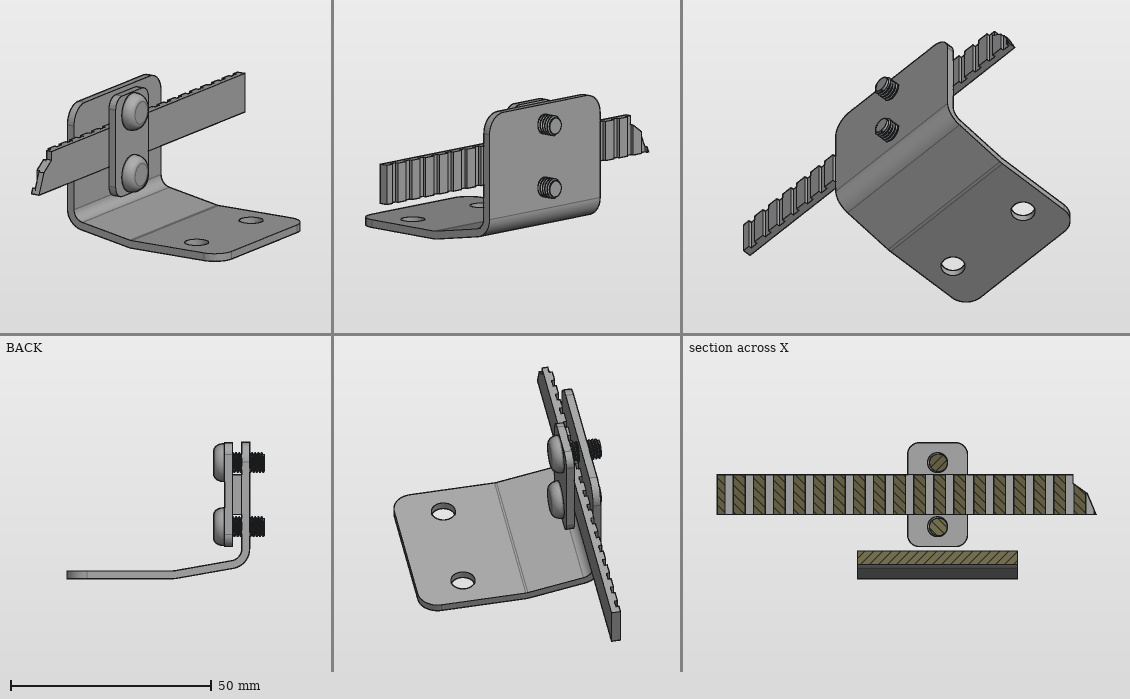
import math

import cadquery as cq


sheet = 2.0
bracket_width = 40.0
bracket_height = 34.12
bracket_length = 45.64
corner_radius = 5.0
ramp_angle = math.radians(10)
inner_bend_radius = 3.0
outer_bend_radius = inner_bend_radius + sheet
foot_start = 18.7
foot_hole_diameter = 6.0
foot_hole_spacing = 25.0
foot_hole_from_edge = 12.0

screw_diameter = 5.0
screw_root_diameter = 4.13
screw_length = 10.0
screw_spacing = 16.0
thread_pitch = 0.8
thread_root_width = 0.6
thread_crest_width = thread_pitch / 8
thread_embed = 0.05
head_diameter = 9.5
head_height = 2.75
head_rim = 0.25
head_flat_diameter = 5.7

strip_thickness = 2.3
strip_height = 10.0
strip_length = 94.62
strip_back_end = 55.0
tooth_pitch = 5.0
notch_width = 2.0
notch_depth = 0.8
first_notch = 2.0
tip_length = 5.77
tip_shoulder_drop = 2.2
tip_knee_from_end = 2.25
tip_knee_drop = 4.7

clamp_thickness = 2.0
clamp_width = 15.0
clamp_height = 26.0
clamp_corner_radius = 3.0

clamp_z = 21.0
strip_x = sheet
clamp_x = strip_x + strip_thickness
head_x = clamp_x + clamp_thickness
screw_heights = [clamp_z - screw_spacing / 2, clamp_z + screw_spacing / 2]


def drill_for_screws(body):
    """Cut the two screw holes through a body along X."""
    for z in screw_heights:
        hole = (
            cq.Workplane("YZ")
            .center(0, z)
            .circle(screw_diameter / 2)
            .extrude(head_x)
        )
        body = body.cut(hole)
    return body


def make_bracket():
    """Upright, sloping ramp and flat foot of one bent sheet, with rounded free corners."""
    ramp_rise = foot_start * math.tan(ramp_angle)
    foot_miter = sheet * math.tan(ramp_angle / 2)
    upright_miter = sheet * math.tan((math.pi / 2 - ramp_angle) / 2)
    inner_foot_start = foot_start + foot_miter
    inner_corner_z = ramp_rise + upright_miter
    body = (
        cq.Workplane("XZ")
        .moveTo(0, bracket_height)
        .lineTo(0, ramp_rise)
        .lineTo(foot_start, 0)
        .lineTo(bracket_length, 0)
        .lineTo(bracket_length, sheet)
        .lineTo(inner_foot_start, sheet)
        .lineTo(sheet, inner_corner_z)
        .lineTo(sheet, bracket_height)
        .close()
        .extrude(bracket_width / 2, both=True)
    )

    def bend_edge(x, z):
        return cq.selectors.NearestToPointSelector((x, 0, z))

    body = body.edges(bend_edge(0, ramp_rise)).fillet(outer_bend_radius)
    body = body.edges(bend_edge(sheet, inner_corner_z)).fillet(inner_bend_radius)
    body = body.edges(bend_edge(foot_start, 0)).fillet(outer_bend_radius)
    body = body.edges(bend_edge(inner_foot_start, sheet)).fillet(inner_bend_radius)

    body = body.faces(">Z").edges("|X").fillet(corner_radius)
    body = body.faces(">X").edges("|Z").fillet(corner_radius)

    foot_holes = (
        cq.Workplane("XY")
        .center(bracket_length - foot_hole_from_edge, 0)
        .rarray(1, foot_hole_spacing, 1, 2)
        .circle(foot_hole_diameter / 2)
        .extrude(sheet)
    )
    return drill_for_screws(body.cut(foot_holes))


def make_strip():
    """Flat strip notched across its face toward the upright, with one end cut to a point."""
    tip_y = strip_back_end - strip_length
    bottom = clamp_z - strip_height / 2
    top = clamp_z + strip_height / 2
    body = (
        cq.Workplane("YZ", origin=(strip_x, 0, 0))
        .moveTo(strip_back_end, bottom)
        .lineTo(strip_back_end, top)
        .lineTo(tip_y + tip_length, top)
        .lineTo(tip_y + tip_length, top - tip_shoulder_drop)
        .lineTo(tip_y + tip_knee_from_end, top - tip_knee_drop)
        .lineTo(tip_y, bottom)
        .close()
        .extrude(strip_thickness)
    )
    notch_count = int((strip_length - first_notch) // tooth_pitch) + 1
    for i in range(notch_count):
        notch_start = strip_back_end - first_notch - i * tooth_pitch
        notch = cq.Workplane("XY").box(
            notch_depth, notch_width, strip_height, centered=False
        )
        body = body.cut(notch.translate((strip_x, notch_start - notch_width, bottom)))
    return body


def make_clamp():
    """Rounded plate that presses the strip against the upright."""
    body = (
        cq.Workplane("YZ", origin=(clamp_x, 0, clamp_z))
        .rect(clamp_width, clamp_height)
        .extrude(clamp_thickness)
        .edges("|X")
        .fillet(clamp_corner_radius)
    )
    return drill_for_screws(body)


def make_thread():
    """Helical ridge around Z that fills the shank from the tip at Z = 0 to the head."""
    root_radius = screw_root_diameter / 2
    crest_radius = screw_diameter / 2
    flank_slope = (thread_root_width - thread_crest_width) / 2 / (crest_radius - root_radius)
    half_base = thread_root_width / 2 + thread_embed * flank_slope
    half_crest = thread_crest_width / 2
    base_radius = root_radius - thread_embed
    helix = cq.Wire.makeHelix(thread_pitch, screw_length - 2 * half_base, root_radius)
    ridge = (
        cq.Workplane("XZ")
        .moveTo(base_radius, -half_base)
        .lineTo(crest_radius, -half_crest)
        .lineTo(crest_radius, half_crest)
        .lineTo(base_radius, half_base)
        .close()
        .sweep(cq.Workplane(obj=helix), isFrenet=True)
    )
    return ridge.translate((0, 0, half_base))


def make_screw():
    """Button-head screw along Z, tip at Z = 0 and head on top."""
    shank = (
        cq.Workplane("XY")
        .circle(screw_root_diameter / 2)
        .extrude(screw_length)
        .union(make_thread())
    )
    head_radius = head_diameter / 2
    head_top = screw_length + head_height
    head = (
        cq.Workplane("XZ")
        .moveTo(0, screw_length)
        .lineTo(head_radius, screw_length)
        .lineTo(head_radius, screw_length + head_rim)
        .ellipseArc(
            (head_diameter - head_flat_diameter) / 2,
            head_height - head_rim,
            angle1=0,
            angle2=90,
        )
        .lineTo(0, head_top)
        .close()
        .revolve(360, (0, 0, 0), (0, 1, 0))
    )
    return shank.union(head)


bracket = make_bracket()
strip = make_strip()
clamp = make_clamp()

lying_screw = make_screw().rotate((0, 0, 0), (0, 1, 0), 90)
screws = cq.Workplane("XY")
for screw_z in screw_heights:
    screws = screws.add(lying_screw.translate((head_x - screw_length, 0, screw_z)))

result = cq.Compound.makeCompound(
    [bracket.val(), strip.val(), clamp.val(), *screws.vals()]
)